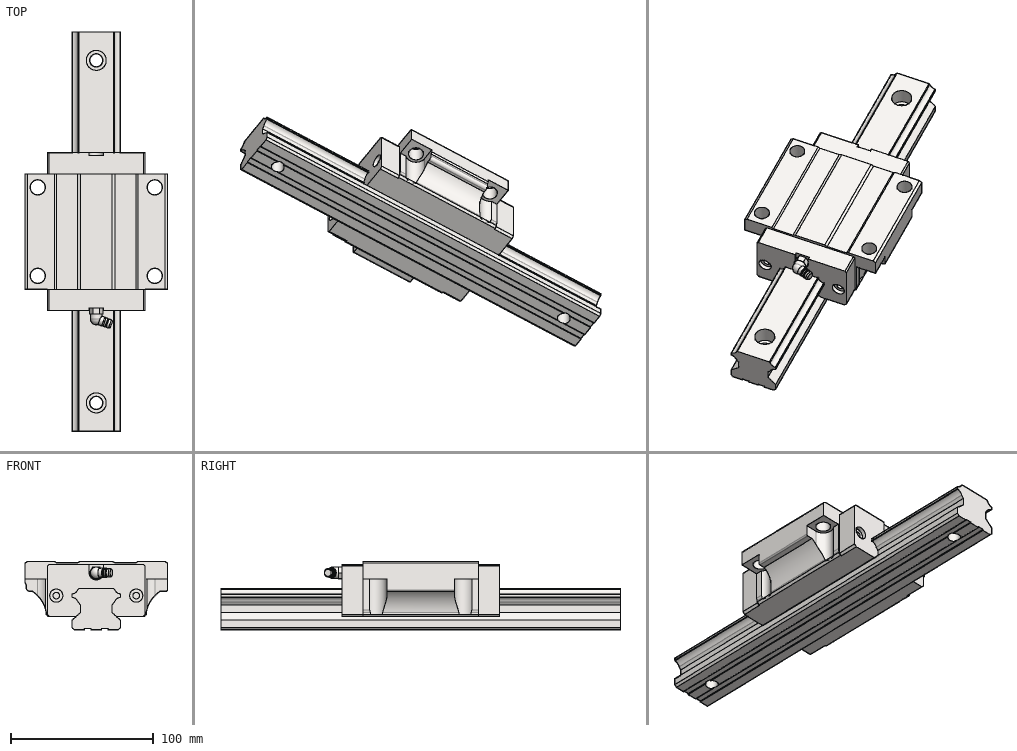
import cadquery as cq
import math


rail_length = 280.0
rail_height = 29.0
rail_half_width = 17.0
rail_top_half_width = 12.2
rail_web_half_width = 11.2
rail_web_top = 17.6
rail_web_bottom = 12.0
lip_z = 24.0
lip_half_height = 0.9
track_outer_x = 16.7
track_outer_rise = 1.2
track_inner_x = 12.8
track_inner_rise = 4.4
track_sag = 0.7
rail_foot_top = 6.8
rail_foot_chamfer = 1.6
base_groove_inner = 3.8
base_groove_outer = 8.3
base_groove_depth = 0.8
rail_hole_y = 120.0
rail_hole_diameter = 9.0
rail_head_diameter = 14.0
rail_head_depth = 12.0

carriage_height = 48.0
block_length = 81.0
carriage_bottom = 9.2
flange_half_width = 50.0
flange_top_chamfer_width = 1.8
flange_top_chamfer_height = 1.2
reference_round_radius = 1.0
plain_edge_top = 33.2
plain_edge_chamfer_bottom = 31.6
plain_edge_half_width = 49.2
plain_edge_round_radius = 2.6
flange_bottom = 27.0
skirt_start_half_width = 44.8
skirt_mid = (39.3, 21.9)
skirt_end_half_width = 35.1
skirt_end = 12.0
skirt_corner_chamfer = 1.6
top_groove_inner = 11.2
top_groove_outer = 29.2
top_groove_depth = 0.8
top_groove_inner_slope = 1.9
top_groove_outer_slope = 1.2

hole_x = 41.0
hole_y = 31.0
hole_diameter = 10.4
clearance_radius = 7.3
clearance_wall_x = 35.5
clearance_top = 35.5
clearance_bottom = 10.8
clearance_reach = 20.0

carriage_length = 110.6
cap_half_width = 34.2
cap_top = 45.8
cap_top_chamfer = 1.1
cap_bottom_chamfer = 1.6
cap_bolt_x = 28.0
cap_bolt_z = 24.0
cap_bolt_head_diameter = 9.2
cap_bolt_head_depth = 3.0
cap_bolt_hole_diameter = 4.6
cap_bolt_hole_depth = 6.0
nipple_z = 40.0
nipple_seat_width = 10.0
nipple_seat_depth = 1.8

hex_across_corners = 9.7
hex_length = 4.2
elbow_radius = 4.1
elbow_y = -61.2
arm_angle = 20.0
arm_steps = [(3.3, 5.2), (2.7, 6.2), (3.2, 7.6), (2.7, 8.4), (3.1, 10.2)]
arm_tip_radius = 2.5
arm_length = 11.3

cap_length = (carriage_length - block_length) / 2
cap_face_y = carriage_length / 2


def extrude_along_y(outline, length):
    """Extrude an XZ outline symmetrically about Y = 0."""
    return outline.extrude(length).translate((0, length / 2, 0))


def track_middle():
    """Middle of a ball track arc as (x, rise from the lip), bowed from the chord into the rail."""
    run = track_outer_x - track_inner_x
    climb = track_inner_rise - track_outer_rise
    chord = math.hypot(run, climb)
    x = (track_outer_x + track_inner_x) / 2 - track_sag * climb / chord
    rise = (track_outer_rise + track_inner_rise) / 2 - track_sag * run / chord
    return x, rise


def rail_outline():
    middle_x, middle_rise = track_middle()
    return (
        cq.Workplane("XZ")
        .moveTo(0, rail_height)
        .lineTo(rail_top_half_width, rail_height)
        .lineTo(track_inner_x, lip_z + track_inner_rise)
        .threePointArc((middle_x, lip_z + middle_rise), (track_outer_x, lip_z + track_outer_rise))
        .lineTo(rail_half_width, lip_z + lip_half_height)
        .lineTo(rail_half_width, lip_z - lip_half_height)
        .lineTo(track_outer_x, lip_z - track_outer_rise)
        .threePointArc((middle_x, lip_z - middle_rise), (track_inner_x, lip_z - track_inner_rise))
        .lineTo(rail_web_half_width, rail_web_top)
        .lineTo(rail_web_half_width, rail_web_bottom)
        .lineTo(rail_half_width, rail_foot_top)
        .lineTo(rail_half_width, rail_foot_chamfer)
        .lineTo(rail_half_width - rail_foot_chamfer, 0)
        .lineTo(0, 0)
        .mirrorY()
    )


def make_rail():
    rail = extrude_along_y(rail_outline(), rail_length)
    groove_width = base_groove_outer - base_groove_inner
    groove_x = (base_groove_outer + base_groove_inner) / 2
    for side in (-1, 1):
        groove = cq.Workplane("XY").rect(groove_width, rail_length).extrude(base_groove_depth)
        rail = rail.cut(groove.translate((side * groove_x, 0, 0)))
    return (
        rail.faces(">Z").workplane(origin=(0, 0, rail_height))
        .pushPoints([(0, -rail_hole_y), (0, rail_hole_y)])
        .cboreHole(rail_hole_diameter, rail_head_diameter, rail_head_depth)
    )


def make_block():
    """Flanged middle of the carriage, without the rail space."""
    reference_half = half_block([], flange_half_width, reference_round_radius)
    plain_step = [(flange_half_width, plain_edge_top), (plain_edge_half_width, plain_edge_chamfer_bottom)]
    plain_half = half_block(plain_step, plain_edge_half_width, plain_edge_round_radius).mirror("YZ")
    block = reference_half.union(plain_half).clean()
    for side in (-1, 1):
        block = block.cut(top_groove(side))
        for end in (-1, 1):
            block = block.cut(bolt_clearance(side, end))
    return (
        block.faces(">Z").workplane(origin=(0, 0, carriage_height))
        .rect(2 * hole_x, 2 * hole_y, forConstruction=True).vertices()
        .hole(hole_diameter)
    )


def half_block(step_points, edge_half_width, round_radius):
    """The +X half of the block; the flange side runs through step_points to a rounded lower edge."""
    outline = (
        cq.Workplane("XZ")
        .moveTo(0, carriage_height)
        .lineTo(flange_half_width - flange_top_chamfer_width, carriage_height)
        .lineTo(flange_half_width, carriage_height - flange_top_chamfer_height)
    )
    for point in step_points:
        outline = outline.lineTo(*point)
    outline = (
        outline
        .lineTo(edge_half_width, flange_bottom + round_radius)
        .radiusArc((edge_half_width - round_radius, flange_bottom), round_radius)
        .lineTo(skirt_start_half_width, flange_bottom)
        .threePointArc(skirt_mid, (skirt_end_half_width, skirt_end))
        .lineTo(skirt_end_half_width, carriage_bottom + skirt_corner_chamfer)
        .lineTo(skirt_end_half_width - skirt_corner_chamfer, carriage_bottom)
        .lineTo(0, carriage_bottom)
        .close()
    )
    return extrude_along_y(outline, block_length)


def top_groove(side):
    """Shallow groove with sloped sides along the top face."""
    floor = carriage_height - top_groove_depth
    points = [
        (top_groove_inner, carriage_height),
        (top_groove_inner + top_groove_inner_slope, floor),
        (top_groove_outer - top_groove_outer_slope, floor),
        (top_groove_outer, carriage_height),
    ]
    outline = cq.Workplane("XZ").polyline([(side * x, z) for x, z in points]).close()
    return extrude_along_y(outline, block_length)


def bolt_clearance(side, end):
    """Space below a flange hole, open to the side and to the end of the block."""
    depth = clearance_top - clearance_bottom
    inner_y = hole_y - clearance_radius
    round_part = (
        cq.Workplane("XY", origin=(side * hole_x, end * hole_y, clearance_bottom))
        .circle(clearance_radius)
        .extrude(depth)
    )
    side_part = (
        cq.Workplane("XY")
        .box(clearance_reach, clearance_reach, depth, centered=False)
        .translate((hole_x, inner_y, clearance_bottom))
    )
    end_part = (
        cq.Workplane("XY")
        .box(clearance_reach, clearance_reach, depth, centered=False)
        .translate((clearance_wall_x, hole_y, clearance_bottom))
    )
    open_part = side_part.union(end_part)
    if side < 0:
        open_part = open_part.mirror("YZ")
    if end < 0:
        open_part = open_part.mirror("XZ")
    return round_part.union(open_part)


def make_cap():
    """End cap at the -Y end of the carriage, without the rail space."""
    right = [
        (cap_half_width - cap_bottom_chamfer, carriage_bottom),
        (cap_half_width, carriage_bottom + cap_bottom_chamfer),
        (cap_half_width, cap_top - cap_top_chamfer),
        (cap_half_width - cap_top_chamfer, cap_top),
    ]
    left = [(-x, z) for x, z in reversed(right)]
    face = cq.Workplane("XZ", origin=(0, -cap_face_y, 0))
    cap = face.polyline(right + left).close().extrude(-cap_length)
    bolts = face.pushPoints([(-cap_bolt_x, cap_bolt_z), (cap_bolt_x, cap_bolt_z)])
    cap = cap.cut(bolts.circle(cap_bolt_head_diameter / 2).extrude(-cap_bolt_head_depth))
    cap = cap.cut(bolts.circle(cap_bolt_hole_diameter / 2).extrude(-cap_bolt_hole_depth))
    seat_round = face.center(0, nipple_z).circle(nipple_seat_width / 2).extrude(-nipple_seat_depth)
    seat_slot = (
        face.center(0, (nipple_z + cap_top) / 2)
        .rect(nipple_seat_width, cap_top - nipple_z)
        .extrude(-nipple_seat_depth)
    )
    return cap.cut(seat_round).cut(seat_slot)


def make_carriage():
    cap = make_cap()
    carriage = make_block().union(cap).union(cap.mirror("XZ"))
    return carriage.cut(extrude_along_y(rail_outline(), carriage_length))


def make_nipple():
    seat_y = nipple_seat_depth - cap_face_y
    base = cq.Workplane("XZ", origin=(0, seat_y, nipple_z))
    nipple = base.polygon(6, hex_across_corners).extrude(hex_length)
    nipple = nipple.union(base.circle(elbow_radius).extrude(seat_y - elbow_y))
    elbow = cq.Workplane("XY").sphere(elbow_radius).translate((0, elbow_y, nipple_z))
    return nipple.union(elbow).union(make_nipple_arm())


def make_nipple_arm():
    """Stepped arm with a coned tip, turned as a solid of revolution and swung into place."""
    outline = cq.Workplane("XY").moveTo(0, 0)
    start = 0
    for radius, end in arm_steps:
        outline = outline.lineTo(start, radius).lineTo(end, radius)
        start = end
    outline = outline.lineTo(arm_length, arm_tip_radius).lineTo(arm_length, 0).close()
    arm = outline.revolve(360, (0, 0, 0), (1, 0, 0))
    return arm.rotate((0, 0, 0), (0, 0, 1), -arm_angle).translate((0, elbow_y, nipple_z))


rail = make_rail()
carriage = make_carriage()
nipple = make_nipple()

result = cq.Compound.makeCompound([*rail.solids().vals(), *carriage.solids().vals(), *nipple.solids().vals()])